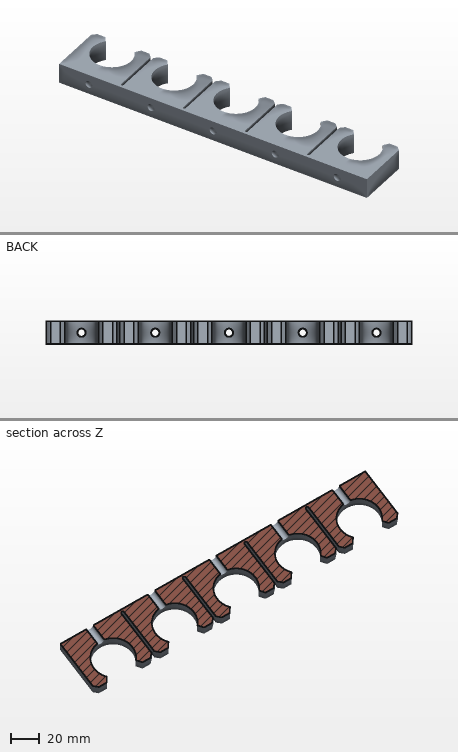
import cadquery as cq
import math

length = 253.0
depth = 44.0
height = 16.0

clip_count = 5
slot_width = 2.0
slot_floor = 2.0
pitch = (length + slot_width) / clip_count
clip_width = pitch - slot_width
slot_end_y = slot_floor + slot_width / 2

bore_radius = 15.7
bore_y = 29.5
mouth_width = 23.5
mouth_flare_width = 29.5
outer_chamfer = 3.0
screw_hole_diameter = 5.5

tip_half = mouth_width / 2
tip_y = bore_y + math.sqrt(bore_radius**2 - tip_half**2)
lead_in_half = mouth_flare_width / 2


def clip_center(index):
    return (index - (clip_count - 1) / 2) * pitch


def clip_body(x):
    """Block with chamfered back corners."""
    block = cq.Workplane("XY").box(clip_width, depth, height, centered=(True, False, False))
    return block.edges("|Z and >Y").chamfer(outer_chamfer).translate((x, 0, 0))


def bore_cut(x):
    """Round seat with a mouth that flares toward the back face."""
    mouth = [(x - tip_half, bore_y), (x - tip_half, tip_y), (x - lead_in_half, depth),
             (x + lead_in_half, depth), (x + tip_half, tip_y), (x + tip_half, bore_y)]
    seat = cq.Workplane("XY").center(x, bore_y).circle(bore_radius).extrude(height)
    return seat.union(cq.Workplane("XY").polyline(mouth).close().extrude(height))


def screw_hole(x):
    """Hole from the front face into the seat."""
    face = cq.Workplane("XZ", origin=(x, 0, height / 2))
    return face.circle(screw_hole_diameter / 2).extrude(-bore_y)


def slot_end(x):
    """Rounded bottom of the slot between two clips."""
    return cq.Workplane("XY").center(x, slot_end_y).circle(slot_width / 2).extrude(height)


result = cq.Workplane("XY").box(length, slot_end_y, height, centered=(True, False, False))

for index in range(clip_count):
    result = result.union(clip_body(clip_center(index)))

for index in range(clip_count):
    center_x = clip_center(index)
    result = result.cut(bore_cut(center_x)).cut(screw_hole(center_x))

for index in range(clip_count - 1):
    result = result.cut(slot_end(clip_center(index) + pitch / 2))